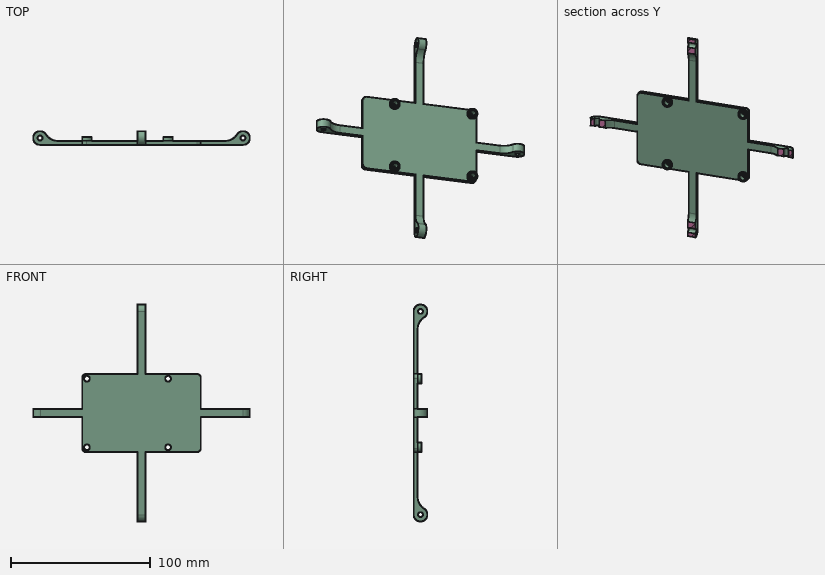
import cadquery as cq
import math

PLATE_LENGTH = 85.0
PLATE_HEIGHT = 56.0
THICKNESS = 3.0
CORNER_RADIUS = 3.0

HOLE_EDGE_OFFSET = 3.5
HOLE_SPACING_X = 58.0
STANDOFF_DIAMETER = 7.0
STANDOFF_HEIGHT = 3.0
STANDOFF_CHAMFER = 0.5
STANDOFF_BORE = 4.0

ARM_WIDTH = 6.0
SIDE_ARM_REACH = 77.5
VERTICAL_ARM_REACH = 77.59
EYE_RADIUS = 5.0
EYE_BORE = 3.4
BLEND_RADIUS = 10.0


def make_plate():
    plate = cq.Workplane("XY").box(
        PLATE_LENGTH, THICKNESS, PLATE_HEIGHT, centered=(True, False, True)
    )
    return plate.edges("|Y").fillet(CORNER_RADIUS)


def make_arm(reach):
    """Arm running from the centre along +X, drawn as a profile in the XY plane."""
    eye_x = reach - EYE_RADIUS
    eye_y = EYE_RADIUS

    blend_y = THICKNESS + BLEND_RADIUS
    centre_distance = EYE_RADIUS + BLEND_RADIUS
    blend_x = eye_x - math.sqrt(centre_distance**2 - (blend_y - eye_y) ** 2)
    direction = math.atan2(blend_y - eye_y, blend_x - eye_x)
    touch = (
        eye_x + EYE_RADIUS * math.cos(direction),
        eye_y + EYE_RADIUS * math.sin(direction),
    )
    middle_angle = ((direction - math.pi) + (-math.pi / 2)) / 2
    blend_middle = (
        blend_x + BLEND_RADIUS * math.cos(middle_angle),
        blend_y + BLEND_RADIUS * math.sin(middle_angle),
    )

    profile = (
        cq.Workplane("XY")
        .moveTo(0, 0)
        .lineTo(eye_x, 0)
        .threePointArc((reach, eye_y), touch)
        .threePointArc(blend_middle, (blend_x, THICKNESS))
        .lineTo(0, THICKNESS)
        .close()
    )
    arm = profile.extrude(ARM_WIDTH / 2, both=True)
    bore_circle = cq.Workplane("XY").center(eye_x, eye_y).circle(EYE_BORE / 2)
    bore = bore_circle.extrude(ARM_WIDTH / 2, both=True)
    return arm.cut(bore)


def standoff_positions():
    first_x = -PLATE_LENGTH / 2 + HOLE_EDGE_OFFSET
    hole_z = PLATE_HEIGHT / 2 - HOLE_EDGE_OFFSET
    columns = (first_x, first_x + HOLE_SPACING_X)
    return [(x, z) for x in columns for z in (-hole_z, hole_z)]


def make_cylinder(x, z, diameter, length):
    """Cylinder from the front face of the plate towards +Y."""
    direction = cq.Vector(0, 1, 0)
    return cq.Workplane(cq.Solid.makeCylinder(diameter / 2, length, cq.Vector(x, 0, z), direction))


def add_arms(body):
    for reach, angles in ((SIDE_ARM_REACH, (0, 180)), (VERTICAL_ARM_REACH, (90, 270))):
        arm = make_arm(reach)
        for angle in angles:
            body = body.union(arm.rotate((0, 0, 0), (0, 1, 0), angle))
    return body


def add_standoffs(body):
    """Chamfered standoffs, each bored right through the plate."""
    standoff_top = THICKNESS + STANDOFF_HEIGHT
    for x, z in standoff_positions():
        standoff = make_cylinder(x, z, STANDOFF_DIAMETER, standoff_top)
        body = body.union(standoff.faces(">Y").chamfer(STANDOFF_CHAMFER))
        body = body.cut(make_cylinder(x, z, STANDOFF_BORE, standoff_top))
    return body


result = add_standoffs(add_arms(make_plate()))